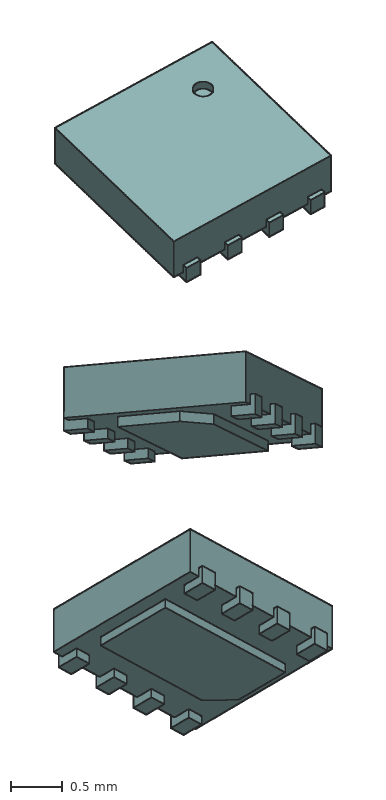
import cadquery as cq

body_side = 1.9
body_height = 0.5
standoff = 0.1
body_top = standoff + body_height

lead_span = 2.0
lead_length = 0.25
lead_width = 0.17
lead_height = 0.2
lead_pitch = 0.5
leads_per_side = 4

pad_width = 0.9
pad_length = 1.6
pad_corner_cut = 0.25

marker_diameter = 0.2
marker_offset = 0.5
marker_depth = 0.1


def make_body():
    body = cq.Workplane("XY").box(body_side, body_side, body_height, centered=(True, True, False))
    return body.translate((0, 0, standoff))


def make_leads():
    lead_x = (lead_span - lead_length) / 2
    return (
        cq.Workplane("XY")
        .rarray(2 * lead_x, lead_pitch, 2, leads_per_side)
        .rect(lead_length, lead_width)
        .extrude(lead_height)
    )


def make_pad():
    pad = cq.Workplane("XY").rect(pad_width, pad_length).extrude(standoff)
    return pad.edges("|Z").edges("<X").edges(">Y").chamfer(pad_corner_cut)


def make_marker_recess():
    return (
        cq.Workplane("XY", origin=(-marker_offset, marker_offset, body_top))
        .circle(marker_diameter / 2)
        .extrude(-marker_depth)
    )


result = make_body().union(make_leads()).union(make_pad()).cut(make_marker_recess())